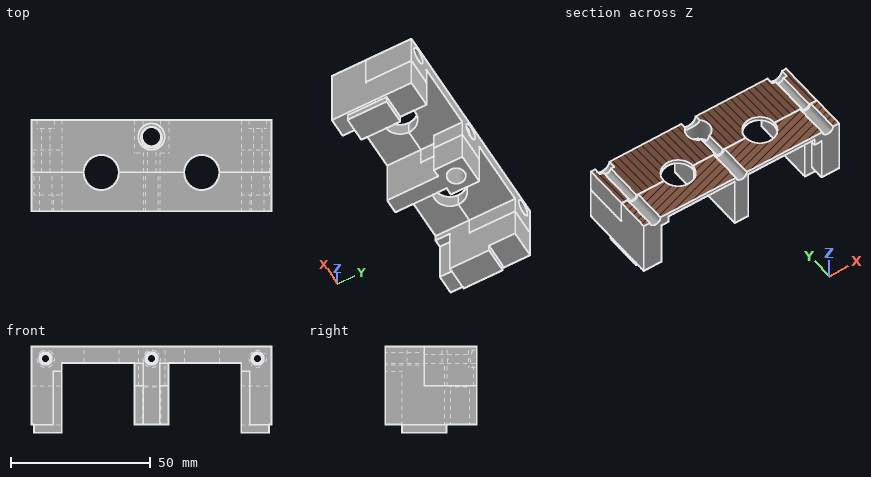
import cadquery as cq


length = 86.0
depth = 32.8
leg_bottom = -28.0
plate_thickness = 6.0
leg_inner_x = 32.1
centre_rib_width = 6.0

relief_width = 3.1
relief_depth = 5.9
relief_top = -8.9

foot_outer_x = 42.05
foot_depth = 16.1
foot_bottom = -31.0

block_depth = 18.8
block_height = 14.0
joint_y = depth - block_depth

boss_width = 12.2
boss_depth = 11.7
bore_y = depth - 6.0
bore_diameter = 9.5
lower_bore_diameter = 6.8
countersink_diameter = 7.6
countersink_offset = 0.3
countersink_depth = 0.4

clamp_hole_diameter = 12.5
clamp_hole_x = 18.0

screw_x = 37.9
screw_z = -4.4
insert_hole_diameter = 4.6
screw_hole_diameter = 3.2
head_recess_diameter = 6.2
head_recess_depth = 3.0

sides = (-1, 1)


def box(x_min, x_max, y_min, y_max, z_min, z_max):
    """Box between two opposite corners."""
    size = (x_max - x_min, y_max - y_min, z_max - z_min)
    return cq.Workplane("XY").box(*size, centered=False).translate((x_min, y_min, z_min))


def cylinder_y(x, z, diameter, y_start, y_end):
    """Round cutter running along Y."""
    plane = cq.Plane(origin=(x, y_start, z), xDir=(1, 0, 0), normal=(0, 1, 0))
    return cq.Workplane(plane).circle(diameter / 2).extrude(y_end - y_start)


def cylinder_z(x, y, diameter, z_bottom, z_top):
    """Round cutter running along Z."""
    return cq.Workplane("XY", origin=(x, y, z_bottom)).circle(diameter / 2).extrude(z_top - z_bottom)


def make_frame():
    """Outer shape of both bodies together, before it is parted and drilled."""
    frame = box(-length / 2, length / 2, 0, depth, -plate_thickness, 0)
    for side in sides:
        leg_x = sorted((side * leg_inner_x, side * length / 2))
        foot_x = sorted((side * leg_inner_x, side * foot_outer_x))
        relief_x = sorted((side * leg_inner_x, side * (leg_inner_x + relief_width)))
        leg = box(*leg_x, 0, depth, leg_bottom, 0)
        foot = box(*foot_x, relief_depth, relief_depth + foot_depth, foot_bottom, leg_bottom)
        relief = box(*relief_x, 0, relief_depth, leg_bottom, relief_top)
        frame = frame.union(leg.cut(relief)).union(foot)
    rib = box(-centre_rib_width / 2, centre_rib_width / 2, 0, depth, leg_bottom, 0)
    boss = box(-boss_width / 2, boss_width / 2, depth - boss_depth, depth, leg_bottom, 0)
    return frame.union(rib).union(boss)


def make_clamp_holes():
    """Pair of vertical holes centred on the joint, through the top plate."""
    holes = cq.Workplane("XY")
    for side in sides:
        hole = cylinder_z(side * clamp_hole_x, joint_y, clamp_hole_diameter, -plate_thickness, 0)
        holes = holes.add(hole)
    return holes.combine()


def make_lower_bore():
    """Bore through the lower part of the boss, with a slightly eccentric countersink on top."""
    bore = cylinder_z(0, bore_y, lower_bore_diameter, leg_bottom, -block_height)
    countersink = (
        cq.Workplane("XY", origin=(0, bore_y, -block_height - countersink_depth))
        .circle(lower_bore_diameter / 2)
        .workplane(offset=countersink_depth)
        .center(0, -countersink_offset)
        .circle(countersink_diameter / 2)
        .loft(ruled=True)
    )
    return bore.union(countersink)


frame = make_frame().cut(make_clamp_holes())
block_space = box(-length / 2, length / 2, joint_y, depth, -block_height, 0)
screw_positions = (-screw_x, 0, screw_x)

base = frame.cut(block_space).cut(make_lower_bore())
for x in screw_positions:
    base = base.cut(cylinder_y(x, screw_z, insert_hole_diameter, 0, joint_y))

rear_block = frame.intersect(block_space)
rear_block = rear_block.cut(cylinder_z(0, bore_y, bore_diameter, -block_height, 0))
for x in screw_positions:
    rear_block = rear_block.cut(cylinder_y(x, screw_z, screw_hole_diameter, joint_y, depth))
    rear_block = rear_block.cut(
        cylinder_y(x, screw_z, head_recess_diameter, depth - head_recess_depth, depth)
    )

result = cq.Compound.makeCompound([base.solids().val(), rear_block.solids().val()])